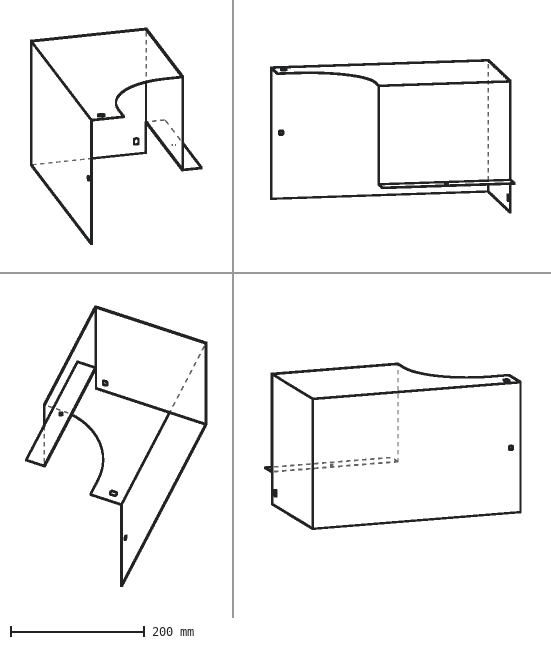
import cadquery as cq
import math

length = 331.0
depth = 209.0
height = 200.0
sheet = 1.0

flange_reach = 29.0
flange_top = 50.0
flange_hole_diameter = 5.0
flange_hole_edge_gap = 15.0

box_depth = depth - flange_reach
back_width = 201.0
arm_depth = 51.0
corner_radius = 100.0

countersink_diameter = 7.0
countersink_inner_diameter = 5.0
countersink_end_gap = 15.2
slot_width = 7.0
slot_length = 10.0
top_slot_end_gap = 15.2
left_slot_end_gap = 16.0
slot_side_gap = 20.0

cut_reach = 2 * sheet


def plate(x, y, z, corner):
    """Rectangular plate of size x, y, z with its lowest corner at the given point."""
    return cq.Workplane("XY").box(x, y, z, centered=False).translate(corner)


def top_plate():
    """L-shaped top with a rounded inside corner between the two arms."""
    arc_center_x = back_width + corner_radius
    arc_center_y = arm_depth + corner_radius
    diagonal = corner_radius * math.sqrt(0.5)
    arc_middle = (arc_center_x - diagonal, arc_center_y - diagonal)
    return (
        cq.Workplane("XY", origin=(0, 0, height - sheet))
        .moveTo(0, 0)
        .lineTo(length, 0)
        .lineTo(length, arm_depth)
        .lineTo(arc_center_x, arm_depth)
        .threePointArc(arc_middle, (back_width, arc_center_y))
        .lineTo(back_width, box_depth)
        .lineTo(0, box_depth)
        .close()
        .extrude(sheet)
    )


def walls():
    """Front, left and back walls; the back wall stops at the flange."""
    front = plate(length, sheet, height, (0, 0, 0))
    left = plate(sheet, box_depth - sheet, height, (0, 0, 0))
    back_bottom = flange_top - sheet
    back = plate(back_width, sheet, height - back_bottom, (0, box_depth - sheet, back_bottom))
    return front.union(left).union(back)


def flange():
    """Horizontal lip pointing away from the back wall."""
    lip_start = box_depth - sheet
    return plate(back_width, depth - lip_start, sheet, (0, lip_start, flange_top - sheet))


def slot_cutter(plane, center):
    """Round hole narrowed by two flats, long along the plane's local Y axis."""
    disc = cq.Workplane(plane, origin=center).circle(slot_length / 2).extrude(cut_reach, both=True)
    band = cq.Workplane(plane, origin=center).rect(slot_width, slot_length).extrude(cut_reach, both=True)
    return disc.intersect(band)


def flange_hole_cutter(x, y):
    """Round hole through the flange."""
    return (
        cq.Workplane("XY", origin=(x, y, flange_top))
        .circle(flange_hole_diameter / 2)
        .extrude(cut_reach, both=True)
    )


def countersink_cutter(x, z):
    """Conical hole through the front wall, widest on the outside."""
    return (
        cq.Workplane("XZ", origin=(x, 0, z))
        .circle(countersink_diameter / 2)
        .workplane(offset=-sheet)
        .circle(countersink_inner_diameter / 2)
        .loft(ruled=True)
    )


top_slot = slot_cutter("XY", (length - top_slot_end_gap, slot_side_gap, height))
left_slot = slot_cutter("YZ", (0, box_depth - left_slot_end_gap, slot_side_gap))
front_countersink = countersink_cutter(length - countersink_end_gap, height / 2)
flange_hole = flange_hole_cutter(back_width / 2, depth - flange_hole_edge_gap)

result = top_plate().union(walls()).union(flange())
for cutter in (top_slot, left_slot, front_countersink, flange_hole):
    result = result.cut(cutter)